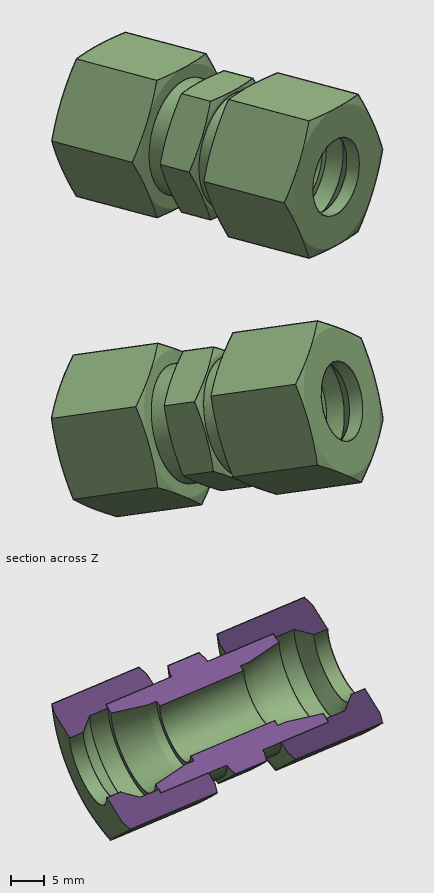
import cadquery as cq
import math

TOTAL_LENGTH = 43.0

NUT_FLATS = 22.0
NUT_LENGTH = 15.5
TUBE_DIAMETER = 12.0
NUT_LIP = 2.3
CHAMBER_DIAMETER = 16.4
CHAMBER_CONE_ANGLE = 45.0

BODY_LENGTH = 28.0
BODY_FLATS = 19.0
BODY_HEX_LENGTH = 6.0
NECK_DIAMETER = 18.0
BORE_DIAMETER = 10.0
MOUTH_DIAMETER = 14.35
MOUTH_CONE_ANGLE = 12.0
TUBE_STOP_X = 7.0

CORNER_CHAMFER_ANGLE = 15.0

NUT_OUTER_X = TOTAL_LENGTH / 2
NUT_INNER_X = NUT_OUTER_X - NUT_LENGTH
BODY_END_X = BODY_LENGTH / 2
LIP_END_X = NUT_OUTER_X - NUT_LIP


def x_cylinder(diameter, start_x, end_x):
    """Solid cylinder along X between two X places."""
    return cq.Workplane("YZ", origin=(start_x, 0, 0)).circle(diameter / 2).extrude(end_x - start_x)


def chamfered_hexagon(flats, start_x, end_x):
    """Hexagonal prism along X with corners at +Y and -Y, its corners turned off conically at both ends."""
    length = end_x - start_x
    corner_radius = flats / math.sqrt(3)
    chamfer_length = (corner_radius - flats / 2) * math.tan(math.radians(CORNER_CHAMFER_ANGLE))
    prism = cq.Workplane("YZ", origin=(start_x, 0, 0)).polygon(6, 2 * corner_radius).extrude(length)
    turned_envelope = (
        cq.Workplane("XY")
        .moveTo(start_x, 0)
        .lineTo(start_x, flats / 2)
        .lineTo(start_x + chamfer_length, corner_radius)
        .lineTo(end_x - chamfer_length, corner_radius)
        .lineTo(end_x, flats / 2)
        .lineTo(end_x, 0)
        .close()
        .revolve(360, (0, 0, 0), (1, 0, 0))
    )
    return prism.intersect(turned_envelope)


def x_cone(large_diameter, large_x, small_diameter, small_x):
    """Solid truncated cone along X between its large end and its small end."""
    return (
        cq.Workplane("XY")
        .moveTo(large_x, 0)
        .lineTo(large_x, large_diameter / 2)
        .lineTo(small_x, small_diameter / 2)
        .lineTo(small_x, 0)
        .close()
        .revolve(360, (0, 0, 0), (1, 0, 0))
    )


def cone_length(large_diameter, small_diameter, angle):
    """Axial length of a cone whose side makes the given angle with the axis."""
    return (large_diameter - small_diameter) / 2 / math.tan(math.radians(angle))


def make_body():
    """Central union: two necks, a hexagon, a through bore and a conical tube socket at each end."""
    hexagon = chamfered_hexagon(BODY_FLATS, -BODY_HEX_LENGTH / 2, BODY_HEX_LENGTH / 2)
    body = x_cylinder(NECK_DIAMETER, -BODY_END_X, BODY_END_X).union(hexagon)
    body = body.cut(x_cylinder(BORE_DIAMETER, -BODY_END_X, BODY_END_X))

    mouth_end_x = BODY_END_X - cone_length(MOUTH_DIAMETER, TUBE_DIAMETER, MOUTH_CONE_ANGLE)
    mouth = x_cone(MOUTH_DIAMETER, BODY_END_X, TUBE_DIAMETER, mouth_end_x)
    socket = x_cylinder(TUBE_DIAMETER, TUBE_STOP_X, mouth_end_x).union(mouth)
    return body.cut(socket).cut(socket.mirror("YZ"))


def make_nut(side):
    """Hexagonal nut on the +X side (side = 1) or the -X side (side = -1) of the body."""
    nut = chamfered_hexagon(NUT_FLATS, NUT_INNER_X, NUT_OUTER_X)

    cone_end_x = LIP_END_X - cone_length(CHAMBER_DIAMETER, TUBE_DIAMETER, CHAMBER_CONE_ANGLE)
    nut = nut.cut(x_cylinder(NECK_DIAMETER, NUT_INNER_X, BODY_END_X))
    nut = nut.cut(x_cylinder(CHAMBER_DIAMETER, BODY_END_X, cone_end_x))
    nut = nut.cut(x_cone(CHAMBER_DIAMETER, cone_end_x, TUBE_DIAMETER, LIP_END_X))
    nut = nut.cut(x_cylinder(TUBE_DIAMETER, LIP_END_X, NUT_OUTER_X))

    if side < 0:
        nut = nut.mirror("YZ")
    return nut


body = make_body()
nuts = [make_nut(side) for side in (-1, 1)]

result = cq.Compound.makeCompound([body.val(), *[nut.val() for nut in nuts]])